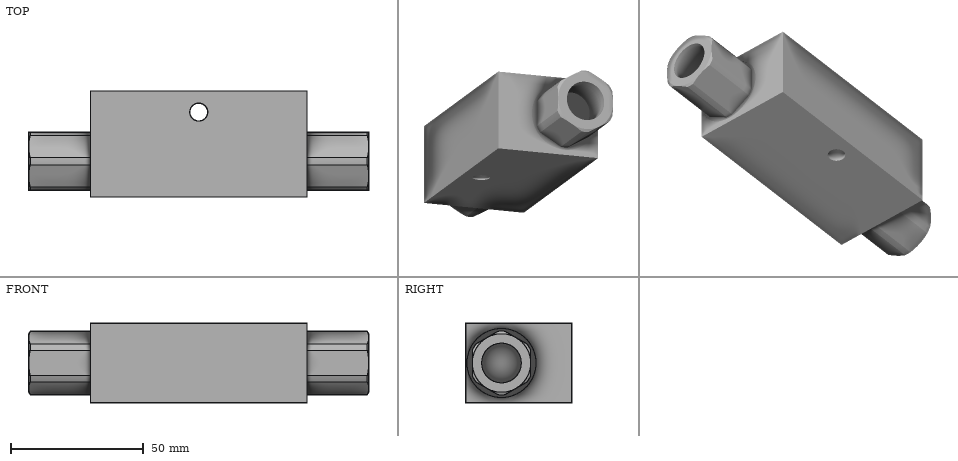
import cadquery as cq
import math

OVERALL_LENGTH = 128.0
BODY_LENGTH = 81.5
BODY_WIDTH = 40.0
BODY_HEIGHT = 30.0

PORT_AXIS_FROM_FRONT = 13.5

HEX_SIDES = 6
HEX_ACROSS_FLATS = 22.0
CORNER_DIAMETER = 24.0
END_CHAMFER_ANGLE = 30.0
PORT_BORE_DIAMETER = 14.95
PORT_BORE_DEPTH = 16.0

RECESS_DIAMETER = 26.0
RECESS_DEPTH = 0.2

MOUNT_HOLE_DIAMETER = 6.65
MOUNT_HOLE_FROM_BACK = 8.0

PORT_Y = PORT_AXIS_FROM_FRONT - BODY_WIDTH / 2
MOUNT_HOLE_Y = BODY_WIDTH / 2 - MOUNT_HOLE_FROM_BACK


def make_body():
    """Rectangular block with the vertical mounting hole."""
    block = cq.Workplane("XY").box(BODY_LENGTH, BODY_WIDTH, BODY_HEIGHT)
    hole = (
        cq.Workplane("XY", origin=(0, MOUNT_HOLE_Y, -BODY_HEIGHT / 2))
        .circle(MOUNT_HOLE_DIAMETER / 2)
        .extrude(BODY_HEIGHT)
    )
    return block.cut(hole)


def port_plane(x, side):
    """Plane across the port axis at distance x, facing into the body from the given side."""
    return cq.Plane(origin=(side * x, PORT_Y, 0), xDir=(0, 1, 0), normal=(-side, 0, 0))


def make_recess(side):
    """Shallow round pocket in the body end face."""
    return (
        cq.Workplane(port_plane(BODY_LENGTH / 2, side))
        .circle(RECESS_DIAMETER / 2)
        .extrude(RECESS_DEPTH)
    )


def make_fitting(side):
    """Hexagonal fitting with turned corners and a chamfered outer end."""
    length = (OVERALL_LENGTH - BODY_LENGTH) / 2 + RECESS_DEPTH
    end_plane = port_plane(OVERALL_LENGTH / 2, side)
    across_corners = HEX_ACROSS_FLATS / math.cos(math.pi / HEX_SIDES)
    hexagon = (
        cq.Workplane(end_plane)
        .transformed(rotate=(0, 0, 90))
        .polygon(HEX_SIDES, across_corners)
        .extrude(length)
    )
    chamfer_width = (CORNER_DIAMETER - HEX_ACROSS_FLATS) / 2
    chamfer_length = chamfer_width * math.tan(math.radians(END_CHAMFER_ANGLE))
    turned_bar = (
        cq.Workplane(end_plane)
        .circle(CORNER_DIAMETER / 2)
        .extrude(length)
        .faces("<X" if side < 0 else ">X")
        .chamfer(chamfer_length, chamfer_width)
    )
    return hexagon.intersect(turned_bar)


def make_port_bore(side):
    """Blind round bore from the outer end of a fitting."""
    return (
        cq.Workplane(port_plane(OVERALL_LENGTH / 2, side))
        .circle(PORT_BORE_DIAMETER / 2)
        .extrude(PORT_BORE_DEPTH)
    )


result = make_body()
for end_side in (-1, 1):
    result = result.cut(make_recess(end_side))
    result = result.union(make_fitting(end_side))
    result = result.cut(make_port_bore(end_side))